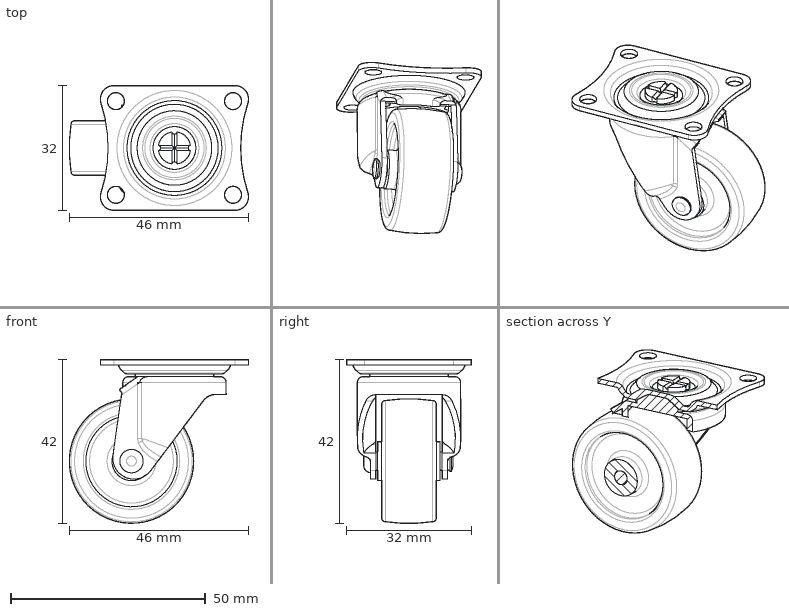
import cadquery as cq
import math

SHEET = 1.4

PLATE_X = 38.0
PLATE_Y = 32.0
HOLE_SPACING_X = 30.0
HOLE_SPACING_Y = 24.0
HOLE_DIAMETER = 4.3
CORNER_RADIUS = 3.5
WAIST_DEPTH = 2.0

CHANNEL_BOTTOM = -3.7
DOME_FOOT_RADIUS = 10.1
DOME_TOP_RADIUS = 8.4
DOME_WELL_RADIUS = 6.9
WELL_FOOT_RADIUS = 5.6
WELL_FLOOR = -1.5

PIN_SHANK_RADIUS = 3.0
PIN_HEAD_RADIUS = 4.15
PIN_GROOVE_WIDTH = 1.3
PIN_GROOVE_DEPTH = 0.8
PIN_NOTCH_RADIUS = 0.75
PIN_NOTCH_CENTRE = 4.3

AXLE_X = -11.0
AXLE_Z = -26.0
WHEEL_RADIUS = 16.0
TREAD_EDGE_RADIUS = 15.55
TREAD_ROUND = 0.95
WHEEL_HALF_WIDTH = 7.0
RIM_INNER_RADIUS = 12.36
RIM_WALL_RADIUS = 11.7
WEB_RADIUS = 10.74
WEB_HALF_WIDTH = 4.6
HUB_FOOT_RADIUS = 6.25
HUB_RADIUS = 5.0
HUB_HALF_WIDTH = 8.0
HUB_FOOT_ROUND = HUB_FOOT_RADIUS - HUB_RADIUS
SPACER_RADIUS = 2.35
AXLE_RADIUS = 1.8

ARM_INNER_Y = 8.5
ARM_OUTER_Y = ARM_INNER_Y + SHEET
FORK_TOP = -4.35
SKIRT_RADIUS = 13.27
SKIRT_BOTTOM = -8.95
SHOULDER_ROUND = 1.5
ARM_END_RADIUS = 5.4
ARM_END_X = -10.4
ARM_END_Z = -25.2
ARM_LEAN = math.radians(8)
REAR_SLOPE = math.radians(53)
REAR_BLEND = 4.0
ROOF_START_X = -9.4
ROOF_SLOPE = math.radians(35)
ARM_TOP_Z = -8.5
ROOF_LIP = 1.1
BULGE_FRONT_X = -10.4
BULGE_CORNER_Z = -18.9
BULGE_CORNER_RADIUS = 4.6
BULGE_FLOOR_SLOPE = math.radians(26)
BULGE_ROUND = 3.3
BULGE_FOOT_ROUND = 1.6
ROOF_INNER_Y = 5.8
ROOF_BLEND = 1.5
ROOF_EDGE_ROUND = 1.2
FAR = 40.0


def extrude_y(outline, half_width):
    """Solid from a closed XZ outline, centred on y = 0."""
    return outline.extrude(half_width, both=True)


def make_plate():
    corner_x = PLATE_X / 2 - CORNER_RADIUS
    corner_y = PLATE_Y / 2 - CORNER_RADIUS
    waist_x = PLATE_X / 2 - WAIST_DEPTH
    gap = waist_x - corner_x
    waist_radius = (gap**2 + corner_y**2 - CORNER_RADIUS**2) / (2 * (CORNER_RADIUS - gap))
    tilt = math.asin(corner_y / (waist_radius + CORNER_RADIUS))
    join_x = corner_x + CORNER_RADIUS * math.cos(tilt)
    join_y = corner_y - CORNER_RADIUS * math.sin(tilt)
    mid_angle = (math.pi / 2 - tilt) / 2
    mid_x = corner_x + CORNER_RADIUS * math.cos(mid_angle)
    mid_y = corner_y + CORNER_RADIUS * math.sin(mid_angle)
    edge_y = PLATE_Y / 2
    plate = (
        cq.Workplane("XY")
        .moveTo(-corner_x, edge_y)
        .lineTo(corner_x, edge_y)
        .threePointArc((mid_x, mid_y), (join_x, join_y))
        .threePointArc((waist_x, 0), (join_x, -join_y))
        .threePointArc((mid_x, -mid_y), (corner_x, -edge_y))
        .lineTo(-corner_x, -edge_y)
        .threePointArc((-mid_x, -mid_y), (-join_x, -join_y))
        .threePointArc((-waist_x, 0), (-join_x, join_y))
        .threePointArc((-mid_x, mid_y), (-corner_x, edge_y))
        .close()
        .extrude(-SHEET)
    )
    holes = (
        cq.Workplane("XY")
        .rect(HOLE_SPACING_X, HOLE_SPACING_Y, forConstruction=True)
        .vertices()
        .circle(HOLE_DIAMETER / 2)
        .extrude(-SHEET)
    )
    lip_radius = 14.74
    opening = cq.Workplane("XY").circle(lip_radius).extrude(-SHEET)
    dish = (
        cq.Workplane("XZ")
        .moveTo(PIN_SHANK_RADIUS, WELL_FLOOR)
        .lineTo(5.48, WELL_FLOOR)
        .lineTo(6.25, -0.6)
        .threePointArc((6.75, -0.17), (7.6, 0))
        .lineTo(8.16, 0)
        .threePointArc((8.95, -0.08), (9.55, -0.35))
        .lineTo(11.2, -2.3)
        .lineTo(12.15, -2.3)
        .lineTo(13.06, -0.8)
        .threePointArc((13.75, -0.2), (lip_radius, 0))
        .lineTo(lip_radius, -SHEET)
        .lineTo(14.4, -SHEET)
        .threePointArc((14.1, -2.1), (13.55, -2.75))
        .lineTo(12.8, -3.45)
        .threePointArc((12.5, -3.63), (12.1, CHANNEL_BOTTOM))
        .lineTo(DOME_FOOT_RADIUS, CHANNEL_BOTTOM)
        .lineTo(DOME_TOP_RADIUS, -SHEET)
        .lineTo(DOME_WELL_RADIUS, -SHEET)
        .lineTo(WELL_FOOT_RADIUS, WELL_FLOOR - SHEET)
        .lineTo(PIN_SHANK_RADIUS, WELL_FLOOR - SHEET)
        .close()
        .revolve(360, (0, 0, 0), (0, 1, 0))
    )
    return plate.cut(holes).cut(opening).union(dish)


def make_king_pin():
    shank_bottom = FORK_TOP - SHEET
    shank = cq.Workplane("XY").workplane(offset=shank_bottom).circle(PIN_SHANK_RADIUS).extrude(-shank_bottom)
    head = cq.Workplane("XY").circle(PIN_HEAD_RADIUS).extrude(WELL_FLOOR)
    pin = shank.union(head)
    half = PIN_GROOVE_WIDTH / 2
    groove = extrude_y(
        cq.Workplane("XZ").polyline([(-half, 0), (half, 0), (0, -PIN_GROOVE_DEPTH)]).close(),
        PIN_HEAD_RADIUS,
    )
    for quarter in range(4):
        notch = (
            cq.Workplane("XY")
            .center(PIN_NOTCH_CENTRE, 0)
            .circle(PIN_NOTCH_RADIUS)
            .extrude(WELL_FLOOR)
            .rotate((0, 0, 0), (0, 0, 1), 90 * quarter)
        )
        pin = pin.cut(notch)
    for turn in (0, 90):
        pin = pin.cut(groove.rotate((0, 0, 0), (0, 0, 1), turn))
    return pin


def turned_on_axle(profile):
    """Revolve an XY profile (x = radius, y = place along the axle) and set it on the wheel axis."""
    solid = profile.close().revolve(360, (0, 0, 0), (0, 1, 0))
    return solid.translate((AXLE_X, 0, AXLE_Z))


def make_wheel():
    tread_edge_y = WHEEL_HALF_WIDTH - TREAD_ROUND
    diagonal = TREAD_ROUND * math.sqrt(0.5)
    web_round = RIM_WALL_RADIUS - WEB_RADIUS
    rim_round = RIM_INNER_RADIUS - RIM_WALL_RADIUS
    face_radius = TREAD_EDGE_RADIUS - TREAD_ROUND
    half = (
        cq.Workplane("XY")
        .moveTo(AXLE_RADIUS, 0)
        .lineTo(AXLE_RADIUS, ARM_INNER_Y)
        .lineTo(SPACER_RADIUS, ARM_INNER_Y)
        .lineTo(SPACER_RADIUS, HUB_HALF_WIDTH)
        .lineTo(HUB_RADIUS, HUB_HALF_WIDTH)
        .lineTo(HUB_RADIUS, WEB_HALF_WIDTH + HUB_FOOT_ROUND)
        .radiusArc((HUB_FOOT_RADIUS, WEB_HALF_WIDTH), -HUB_FOOT_ROUND)
        .lineTo(WEB_RADIUS, WEB_HALF_WIDTH)
        .radiusArc((RIM_WALL_RADIUS, WEB_HALF_WIDTH + web_round), -web_round)
        .lineTo(RIM_WALL_RADIUS, WHEEL_HALF_WIDTH - rim_round)
        .radiusArc((RIM_INNER_RADIUS, WHEEL_HALF_WIDTH), rim_round)
        .lineTo(face_radius, WHEEL_HALF_WIDTH)
        .threePointArc((face_radius + diagonal, tread_edge_y + diagonal), (TREAD_EDGE_RADIUS, tread_edge_y))
    )
    half = turned_on_axle(half.lineTo(TREAD_EDGE_RADIUS, 0))
    crown = turned_on_axle(
        cq.Workplane("XY")
        .moveTo(face_radius, -tread_edge_y)
        .lineTo(TREAD_EDGE_RADIUS, -tread_edge_y)
        .threePointArc((WHEEL_RADIUS, 0), (TREAD_EDGE_RADIUS, tread_edge_y))
        .lineTo(face_radius, tread_edge_y)
    )
    return half.union(half.mirror("XZ")).union(crown).clean()


def make_axle():
    profile = (
        cq.Workplane("XY")
        .moveTo(0, -11.6)
        .lineTo(1.27, -11.6)
        .threePointArc((2.4, -11.1), (3.0, -ARM_OUTER_Y))
        .lineTo(AXLE_RADIUS, -ARM_OUTER_Y)
        .lineTo(AXLE_RADIUS, ARM_OUTER_Y)
        .lineTo(2.1, ARM_OUTER_Y)
        .lineTo(2.6, 10.45)
        .lineTo(2.6, 10.9)
        .lineTo(1.3, 11.3)
        .lineTo(0, 11.3)
    )
    return turned_on_axle(profile)


def rear_edge_x(z):
    """Place of the sloping rear edge of the fork at a given height."""
    touch_x = ARM_END_X + ARM_END_RADIUS * math.sin(REAR_SLOPE)
    touch_z = ARM_END_Z - ARM_END_RADIUS * math.cos(REAR_SLOPE)
    return touch_x + (z - touch_z) / math.tan(REAR_SLOPE)


def make_arms():
    front_touch_x = ARM_END_X - ARM_END_RADIUS * math.cos(ARM_LEAN)
    front_touch_z = ARM_END_Z + ARM_END_RADIUS * math.sin(ARM_LEAN)
    front_top_x = front_touch_x + (ARM_TOP_Z - front_touch_z) * math.tan(ARM_LEAN)
    tip_x = front_top_x - ROOF_LIP * math.sin(ROOF_SLOPE)
    tip_z = FORK_TOP - (ROOF_START_X - tip_x) * math.tan(ROOF_SLOPE)
    rear_z = ARM_END_Z - ARM_END_RADIUS * math.cos(REAR_SLOPE)
    block = extrude_y(
        cq.Workplane("XZ")
        .moveTo(front_touch_x, front_touch_z)
        .lineTo(front_top_x, ARM_TOP_Z)
        .lineTo(tip_x, tip_z)
        .lineTo(ROOF_START_X, FORK_TOP)
        .lineTo(0, FORK_TOP)
        .lineTo(0, BULGE_CORNER_Z)
        .lineTo(rear_edge_x(BULGE_CORNER_Z), BULGE_CORNER_Z)
        .lineTo(rear_edge_x(rear_z), rear_z)
        .threePointArc((ARM_END_X, ARM_END_Z - ARM_END_RADIUS), (front_touch_x, front_touch_z))
        .close(),
        ARM_OUTER_Y,
    )
    roof_middle = ((tip_x + ROOF_START_X) / 2, (tip_z + FORK_TOP) / 2)
    roof_edges = cq.selectors.BoxSelector(
        (roof_middle[0] - 1, -FAR, roof_middle[1] - 1), (roof_middle[0] + 1, FAR, roof_middle[1] + 1)
    )
    block = block.edges(roof_edges).edges("not |Y").fillet(SHOULDER_ROUND)
    roof_sheet = SHEET / math.cos(ROOF_SLOPE)
    ceiling = FORK_TOP - SHEET
    inside_reach = ROOF_START_X - FAR
    inside = extrude_y(
        cq.Workplane("XZ")
        .moveTo(inside_reach, FORK_TOP - roof_sheet - FAR * math.tan(ROOF_SLOPE))
        .lineTo(ROOF_START_X + (roof_sheet - SHEET) / math.tan(ROOF_SLOPE), ceiling)
        .lineTo(FAR, ceiling)
        .lineTo(FAR, -FAR)
        .lineTo(inside_reach, -FAR)
        .close(),
        ARM_INNER_Y,
    )
    opening = cq.Workplane("XY").box(FAR, 2 * ROOF_INNER_Y, FAR).translate((-FAR / 2, 0, 0))
    opening = opening.cut(cylinder_down(SKIRT_RADIUS, FAR, -FAR))
    opening = opening.edges("|Z").edges(">X").fillet(ROOF_BLEND)
    block = block.cut(opening)
    side_middle = cq.selectors.BoxSelector(
        (tip_x, -ROOF_INNER_Y - 0.01, tip_z), (roof_middle[0] + 1, ROOF_INNER_Y + 0.01, FORK_TOP)
    )
    block = block.edges(side_middle).edges("not |Z").edges("not |Y").fillet(ROOF_EDGE_ROUND)

    wall_width = 2 * (ROOF_INNER_Y + SHEET)
    walls = cq.Workplane("XY").workplane(offset=SKIRT_BOTTOM).rect(2 * FAR, wall_width).extrude(FAR)
    return block.cut(inside.cut(walls))


def bulge_region(inset, top):
    """Space above the bulge floor; inset raises the floor by a wall thickness."""
    radius = BULGE_CORNER_RADIUS - inset
    front_x = BULGE_FRONT_X + inset
    turn = math.pi / 2 - BULGE_FLOOR_SLOPE
    centre_x = front_x + radius
    mid = (centre_x - radius * math.cos(turn / 2), BULGE_CORNER_Z - radius * math.sin(turn / 2))
    end = (centre_x - radius * math.cos(turn), BULGE_CORNER_Z - radius * math.sin(turn))
    return extrude_y(
        cq.Workplane("XZ")
        .moveTo(front_x, top)
        .lineTo(front_x, BULGE_CORNER_Z)
        .threePointArc(mid, end)
        .lineTo(FAR, end[1] - (FAR - end[0]) * math.tan(BULGE_FLOOR_SLOPE))
        .lineTo(FAR, top)
        .close(),
        FAR,
    )


def cylinder_down(radius, top, bottom):
    return cq.Workplane("XY").workplane(offset=bottom).circle(radius).extrude(top - bottom)


def make_bulges():
    """Bulges that reach down both arms, rounded underneath and blended into the arm faces."""
    top = FORK_TOP - SHOULDER_ROUND
    bulges = cylinder_down(SKIRT_RADIUS, top, -2 * FAR).intersect(bulge_region(0, top))
    floor_zone = cq.selectors.BoxSelector((BULGE_FRONT_X + 0.1, -FAR, -2 * FAR), (FAR, FAR, top - 1))
    bulges = bulges.edges(floor_zone).edges("not |Z").edges("not |Y").fillet(BULGE_ROUND)
    faces = cq.Workplane("XY").workplane(offset=top).rect(2 * FAR, 2 * ARM_OUTER_Y).extrude(-2 * FAR)
    blended = faces.union(bulges)
    for side in (-1, 1):
        foot_y = side * ARM_OUTER_Y
        foot = cq.selectors.BoxSelector(
            (BULGE_FRONT_X, foot_y - 0.01, -2 * FAR + 1), (0, foot_y + 0.01, top - 0.1)
        )
        blended = blended.edges(foot).fillet(BULGE_FOOT_ROUND)
    front = cq.Workplane("XY").box(FAR, FAR, 4 * FAR).translate((-FAR / 2, 0, 0))
    return blended.cut(faces).intersect(front).union(bulges)


def make_fork():
    skirt = cylinder_down(SKIRT_RADIUS, FORK_TOP, SKIRT_BOTTOM).faces(">Z").edges().fillet(SHOULDER_ROUND)
    fork = make_arms().union(skirt).union(make_bulges())

    inner_radius = SKIRT_RADIUS - SHEET
    ceiling = FORK_TOP - SHEET
    fork = fork.cut(cylinder_down(inner_radius, ceiling, SKIRT_BOTTOM))
    hollow = cylinder_down(inner_radius, ceiling, -2 * FAR).intersect(bulge_region(SHEET, ceiling))
    fork = fork.cut(hollow)
    wheel_space = cq.Workplane("XY").workplane(offset=SKIRT_BOTTOM).rect(2 * FAR, 2 * ARM_INNER_Y).extrude(-FAR)
    fork = fork.cut(wheel_space)

    rear_corner_x = rear_edge_x(SKIRT_BOTTOM)
    trim = extrude_y(
        cq.Workplane("XZ")
        .moveTo(rear_edge_x(-FAR), -FAR)
        .lineTo(rear_corner_x, SKIRT_BOTTOM)
        .lineTo(FAR, SKIRT_BOTTOM)
        .lineTo(FAR, -FAR)
        .close(),
        FAR,
    )
    trim_corner = cq.selectors.NearestToPointSelector((rear_corner_x, 0, SKIRT_BOTTOM))
    fork = fork.cut(trim.edges("|Y").edges(trim_corner).fillet(REAR_BLEND))

    neck = (
        cq.Workplane("XZ")
        .moveTo(0, ceiling)
        .lineTo(DOME_FOOT_RADIUS, ceiling)
        .lineTo(DOME_FOOT_RADIUS, CHANNEL_BOTTOM)
        .lineTo(DOME_TOP_RADIUS, -SHEET)
        .lineTo(DOME_WELL_RADIUS, -SHEET)
        .lineTo(WELL_FOOT_RADIUS, WELL_FLOOR - SHEET)
        .lineTo(0, WELL_FLOOR - SHEET)
        .close()
        .revolve(360, (0, 0, 0), (0, 1, 0))
    )
    fork = fork.union(neck).cut(cylinder_down(PIN_SHANK_RADIUS, 0, SKIRT_BOTTOM))
    axle_bore = extrude_y(cq.Workplane("XZ").center(AXLE_X, AXLE_Z).circle(AXLE_RADIUS), ARM_OUTER_Y)
    return fork.cut(axle_bore)


plate = make_plate()
king_pin = make_king_pin()
fork = make_fork()
wheel = make_wheel()
axle = make_axle()

result = cq.Compound.makeCompound([plate.val(), king_pin.val(), fork.val(), wheel.val(), axle.val()])